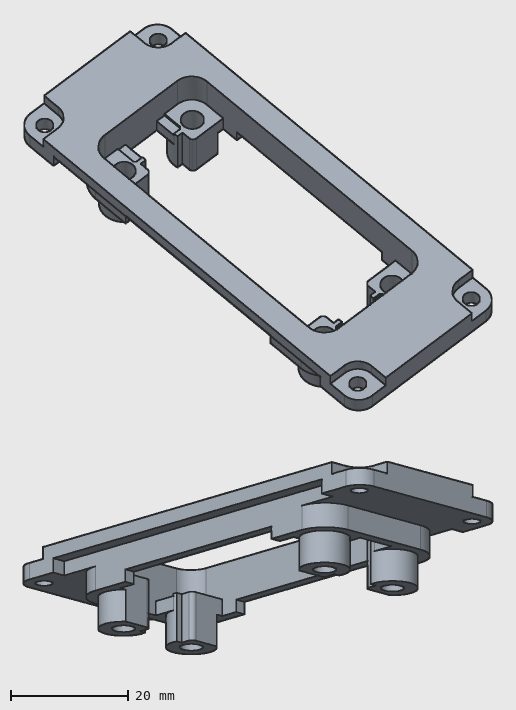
import cadquery as cq

LENGTH = 84.5
WIDTH = 33.5
PLATE_THICKNESS = 5.1
PLATE_CORNER_RADIUS = 3.4

SCREW_X = 38.7
SCREW_Y = 13.35
SCREW_HOLE_DIAMETER = 2.95
SEAT_RADIUS = 3.2
SEAT_DEPTH = 2.1

OPENING_LENGTH = 57.8
OPENING_WIDTH = 24.2
OPENING_CORNER_RADIUS = 3.55
WALL = 2.0
SKIRT_LENGTH = OPENING_LENGTH + 2 * WALL
SKIRT_WIDTH = OPENING_WIDTH + 2 * WALL
SKIRT_CORNER_RADIUS = OPENING_CORNER_RADIUS + WALL
SKIRT_DEPTH = 9.4

RELIEF_LENGTH = 35.8
RELIEF_DEPTH = 7.2

REBATE_LENGTH = 65.9
REBATE_DEPTH = 2.5

OVERALL_DEPTH = 15.0
POST_X = 24.7
POST_Y = 8.0
POST_DIAMETER = 8.7
POST_HOLE_DIAMETER = 4.0
LEDGE_DEPTH = 6.4
LEDGE_INNER_X = 21.3
LEDGE_INNER_Y = POST_Y - POST_DIAMETER / 2
NOTCH_X = 23.8
NOTCH_Y = 4.9
POST_CORNER_RADIUS = 0.85

STEP_DEPTH = 6.85
STEP_OUTER_Y = 5.5
STEP_CORNER_RADIUS = 0.5


def block(x_range, y_range, z_range):
    """Axis-aligned box given by its (low, high) limits along each axis."""
    size = [high - low for low, high in (x_range, y_range, z_range)]
    corner = (x_range[0], y_range[0], z_range[0])
    return cq.Workplane("XY").box(*size, centered=False).translate(corner)


def rounded_block(length, width, depth, radius):
    """Centred block from Z = 0 down to depth, with rounded upright edges."""
    return cq.Workplane("XY").rect(length, width).extrude(-depth).edges("|Z").fillet(radius)


def in_four_corners(feature):
    """Feature of the +X +Y quarter, mirrored into all four quarters."""
    half = feature.union(feature.mirror("YZ"))
    return half.union(half.mirror("XZ"))


def rebates():
    """Undercut along both long edges, clear of the skirt."""
    half_length = REBATE_LENGTH / 2
    z_range = (-PLATE_THICKNESS, -REBATE_DEPTH)
    rebate = block((-half_length, half_length), (SKIRT_WIDTH / 2, WIDTH / 2), z_range)
    return rebate.union(rebate.mirror("XZ"))


def screw_seat():
    """Lowered seat open to both plate edges, with its screw hole."""
    seat = block(
        (SCREW_X - SEAT_RADIUS, LENGTH / 2),
        (SCREW_Y - SEAT_RADIUS, WIDTH / 2),
        (-SEAT_DEPTH, 0),
    )
    seat = seat.edges("|Z and <X and <Y").fillet(SEAT_RADIUS)
    hole = (
        cq.Workplane("XY").center(SCREW_X, SCREW_Y)
        .circle(SCREW_HOLE_DIAMETER / 2).extrude(-PLATE_THICKNESS)
    )
    return seat.union(hole)


def post():
    """Ledge and round post of one corner, trimmed toward the opening and bored."""
    ledge = block(
        (LEDGE_INNER_X, (OPENING_LENGTH + WALL) / 2),
        (POST_Y, (OPENING_WIDTH + WALL) / 2),
        (-SKIRT_DEPTH, -LEDGE_DEPTH),
    )
    tab = block(
        (POST_X, (OPENING_LENGTH + WALL) / 2),
        (LEDGE_INNER_Y, POST_Y),
        (-SKIRT_DEPTH, -LEDGE_DEPTH),
    )
    skirt = rounded_block(SKIRT_LENGTH, SKIRT_WIDTH, SKIRT_DEPTH, SKIRT_CORNER_RADIUS)

    shaft = (
        cq.Workplane("XY").workplane(offset=-OVERALL_DEPTH).center(POST_X, POST_Y)
        .circle(POST_DIAMETER / 2).extrude(OVERALL_DEPTH - LEDGE_DEPTH)
    )
    square = block(
        (LEDGE_INNER_X, POST_X),
        (NOTCH_Y, POST_Y),
        (-OVERALL_DEPTH, -LEDGE_DEPTH),
    )
    full_height = (-OVERALL_DEPTH, 0)
    side_trim = block((0, LEDGE_INNER_X), (0, WIDTH / 2), full_height)
    notch = block((0, NOTCH_X), (0, NOTCH_Y), full_height)
    bore = (
        cq.Workplane("XY").center(POST_X, POST_Y)
        .circle(POST_HOLE_DIAMETER / 2).extrude(-OVERALL_DEPTH)
    )
    step = block(
        (POST_X, OPENING_LENGTH / 2),
        (0, STEP_OUTER_Y),
        (-STEP_DEPTH, 0),
    )
    step = step.edges("|Z and <X and >Y").fillet(STEP_CORNER_RADIUS)

    solid = ledge.union(tab).intersect(skirt).union(shaft).union(square)
    solid = solid.cut(side_trim).cut(notch)
    inner_corner = (LEDGE_INNER_X, NOTCH_Y, -(OVERALL_DEPTH + LEDGE_DEPTH) / 2)
    solid = solid.edges(cq.selectors.NearestToPointSelector(inner_corner)).fillet(POST_CORNER_RADIUS)
    return solid.cut(step).cut(bore)


plate = rounded_block(LENGTH, WIDTH, PLATE_THICKNESS, PLATE_CORNER_RADIUS)
skirt_body = rounded_block(SKIRT_LENGTH, SKIRT_WIDTH, SKIRT_DEPTH, SKIRT_CORNER_RADIUS)
opening = rounded_block(OPENING_LENGTH, OPENING_WIDTH, SKIRT_DEPTH, OPENING_CORNER_RADIUS)
relief = block(
    (-RELIEF_LENGTH / 2, RELIEF_LENGTH / 2),
    (-WIDTH / 2, WIDTH / 2),
    (-SKIRT_DEPTH, -RELIEF_DEPTH),
)

frame = plate.cut(rebates()).union(skirt_body).cut(opening).cut(relief)
frame = frame.cut(in_four_corners(screw_seat()))
result = frame.union(in_four_corners(post()))